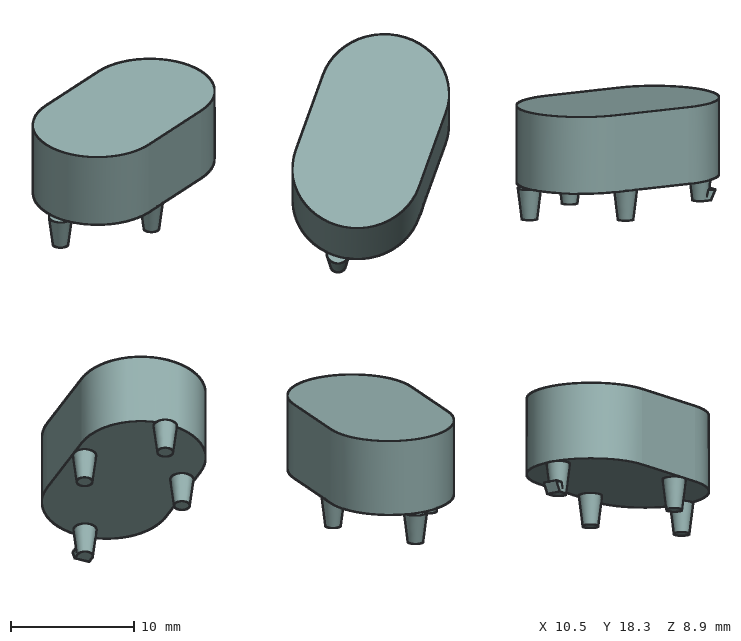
import cadquery as cq

body_width = 10.52
body_length = 17.52
body_height = 6.35

leg_height = 2.55
leg_root_radius = 0.95
leg_tip_radius = 0.65
side_leg_x = body_width / 2 - leg_root_radius
side_leg_y = -1.92
front_leg_y = -8.43
back_leg_y = 7.86
leg_positions = [
    (0, front_leg_y),
    (-side_leg_x, side_leg_y),
    (side_leg_x, side_leg_y),
    (0, back_leg_y),
]

hook_height = 0.86
hook_overhang = 0.44
hook_width = 2 * leg_tip_radius


def make_body():
    """Slot outline with its long direction along Y."""
    return cq.Workplane("XY").slot2D(body_length, body_width, 90).extrude(body_height)


def make_leg(x, y):
    """Cone frustum hanging from the underside and narrowing downwards."""
    return cq.Workplane(
        cq.Solid.makeCone(
            leg_root_radius, leg_tip_radius, leg_height, cq.Vector(x, y, 0), cq.Vector(0, 0, -1)
        )
    )


def make_hook():
    """Flat-topped barb that slopes out from the tip of the back leg."""
    bottom_z = -leg_height
    top_z = bottom_z + hook_height
    tip_edge_y = back_leg_y + leg_tip_radius
    return (
        cq.Workplane("YZ")
        .moveTo(back_leg_y, bottom_z)
        .lineTo(tip_edge_y, bottom_z)
        .lineTo(tip_edge_y + hook_overhang, top_z)
        .lineTo(back_leg_y, top_z)
        .close()
        .extrude(hook_width / 2, both=True)
    )


result = make_body()
for leg_x, leg_y in leg_positions:
    result = result.union(make_leg(leg_x, leg_y))
result = result.union(make_hook())